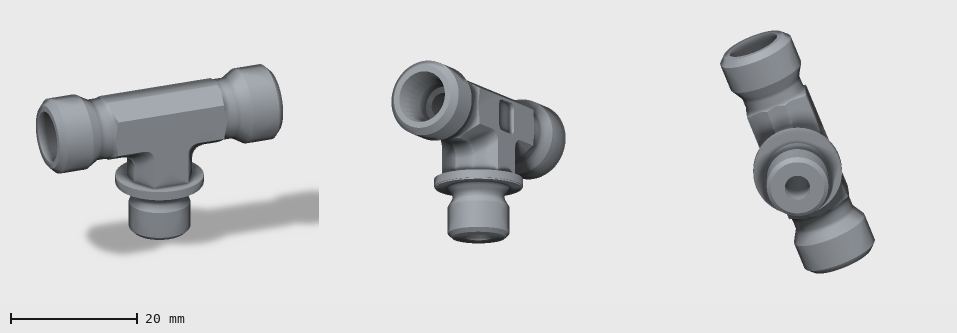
import cadquery as cq
import math


half_run = 19.0
branch_length = 19.0

hex_across_flats = 10.0
hex_cut_half = 4.9
tee_fillet = 2.0
hex_apothem = hex_across_flats / 2
hex_corner = hex_apothem / math.cos(math.pi / 6)

tube_thread_radius = 12.0 / 2
tube_neck_radius = 9.7 / 2
tube_chamfer = 1.0
tube_thread_start = 13.6
relief_radius = 1.0
relief_angle = math.radians(30)
shoulder_position = 9.0

bore_radius = 4.0 / 2
tube_socket_radius = 6.0 / 2
tube_socket_depth = 7.0
cone_mouth_radius = 8.15 / 2
cone_half_angle = math.radians(12)

flange_radius = 14.0 / 2
flange_top = -9.55
seal_radius = 13.68 / 2
seal_step = 0.2
seal_face = -11.02
stud_thread_radius = 9.73 / 2
stud_chamfer = 0.65
groove_radius = 4.1
groove_position = -12.5
groove_arc_radius = 1.0
groove_upper_angle = math.radians(35)
groove_lower_angle = math.radians(30)

recess_size = 5.0
recess_corner_radius = 1.0
recess_depth = 0.8


def cut_hexagon(plane, length):
    """Hexagonal prism with flats on +X and -X and its other two corners cut flat."""
    cut_half_width = (hex_corner - hex_cut_half) / math.tan(math.pi / 6)
    half_flat = hex_corner / 2
    points = [
        (cut_half_width, hex_cut_half),
        (hex_apothem, half_flat),
        (hex_apothem, -half_flat),
        (cut_half_width, -hex_cut_half),
        (-cut_half_width, -hex_cut_half),
        (-hex_apothem, -half_flat),
        (-hex_apothem, half_flat),
        (-cut_half_width, hex_cut_half),
    ]
    return cq.Workplane(plane).polyline(points).close().extrude(length)


def both_ends(solid):
    """The solid together with its mirror image at the other end of the run."""
    return solid.union(solid.mirror("XZ"))


def revolve_about_y(profile):
    return profile.close().revolve(360, (0, 0), (0, 1))


def run_prism():
    """Hexagon of the run, each end rounded down to the neck by a concave arc."""
    neck_start = shoulder_position + relief_radius
    hexagon = cut_hexagon(cq.Plane((0, -neck_start, 0), (1, 0, 0), (0, 1, 0)), 2 * neck_start)
    crest_radius = tube_neck_radius + relief_radius
    arc_reach = relief_radius * math.sqrt(0.5)
    envelope = revolve_about_y(
        cq.Workplane("XY")
        .lineTo(crest_radius, 0)
        .lineTo(crest_radius, shoulder_position)
        .threePointArc(
            (crest_radius - arc_reach, neck_start - arc_reach),
            (tube_neck_radius, neck_start),
        )
        .lineTo(0, neck_start)
    )
    return hexagon.intersect(both_ends(envelope))


def forged_body():
    """Run and branch hexagons joined, with fillets along the inside corners."""
    branch = cut_hexagon(cq.Plane((0, 0, 0), (1, 0, 0), (0, 0, -1)), -flange_top)
    body = run_prism().union(branch)

    def is_inside_corner(edge):
        return all(
            abs(abs(vertex.Y) + vertex.Z) < 0.0005 and vertex.Z < 0
            for vertex in edge.Vertices()
        )

    return body.edges().filter(is_inside_corner).fillet(tee_fillet)


def tube_end():
    """Threaded end of the run with its neck, relief cone and end chamfer."""
    cone_length = (tube_thread_radius - tube_neck_radius) / math.tan(relief_angle)
    cone_foot = tube_thread_start - cone_length
    tangent = relief_radius * math.tan(relief_angle / 2)
    arc_start = cone_foot - tangent
    arc_centre_radius = tube_neck_radius + relief_radius

    def arc_point(angle):
        return (
            arc_centre_radius - relief_radius * math.cos(angle),
            arc_start + relief_radius * math.sin(angle),
        )

    return revolve_about_y(
        cq.Workplane("XY")
        .lineTo(tube_neck_radius, 0)
        .lineTo(*arc_point(0))
        .threePointArc(arc_point(relief_angle / 2), arc_point(relief_angle))
        .lineTo(tube_thread_radius, tube_thread_start)
        .lineTo(tube_thread_radius, half_run - tube_chamfer)
        .lineTo(tube_thread_radius - tube_chamfer, half_run)
        .lineTo(0, half_run)
    )


def stud_end():
    """Flange, undercut groove and threaded stud of the branch."""
    arc_centre_radius = groove_radius + groove_arc_radius

    def arc_point(angle):
        return (
            arc_centre_radius - groove_arc_radius * math.cos(angle),
            groove_position + groove_arc_radius * math.sin(angle),
        )

    upper_radius, upper_z = arc_point(groove_upper_angle)
    lower_radius, lower_z = arc_point(-groove_lower_angle)
    seal_inner_radius = upper_radius + (seal_face - upper_z) * math.tan(groove_upper_angle)
    thread_start = lower_z - (stud_thread_radius - lower_radius) / math.tan(groove_lower_angle)

    profile = (
        cq.Workplane("XZ")
        .moveTo(0, flange_top)
        .lineTo(flange_radius, flange_top)
        .lineTo(flange_radius, seal_face + seal_step)
        .lineTo(seal_radius, seal_face + seal_step)
        .lineTo(seal_radius, seal_face)
        .lineTo(seal_inner_radius, seal_face)
        .lineTo(upper_radius, upper_z)
        .threePointArc(arc_point(0), (lower_radius, lower_z))
        .lineTo(stud_thread_radius, thread_start)
        .lineTo(stud_thread_radius, -branch_length + stud_chamfer)
        .lineTo(stud_thread_radius - stud_chamfer, -branch_length)
        .lineTo(0, -branch_length)
    )
    return revolve_about_y(profile)


def run_bore():
    """Half of the run bore: through hole, tube socket and sealing cone."""
    cone_depth = (cone_mouth_radius - tube_socket_radius) / math.tan(cone_half_angle)
    return revolve_about_y(
        cq.Workplane("XY")
        .lineTo(bore_radius, 0)
        .lineTo(bore_radius, half_run - tube_socket_depth)
        .lineTo(tube_socket_radius, half_run - tube_socket_depth)
        .lineTo(tube_socket_radius, half_run - cone_depth)
        .lineTo(cone_mouth_radius, half_run)
        .lineTo(0, half_run)
    )


def branch_bore():
    return cq.Workplane("XY").circle(bore_radius).extrude(-branch_length)


def marking_recess():
    """Rounded square recess in the -X flat, centred on the crossing of the axes."""
    return (
        cq.Workplane("YZ", origin=(-hex_apothem, 0, 0))
        .rect(recess_size, recess_size)
        .extrude(recess_depth)
        .edges("|X")
        .fillet(recess_corner_radius)
    )


outer = forged_body().union(both_ends(tube_end())).union(stud_end())
result = outer.cut(both_ends(run_bore())).cut(branch_bore()).cut(marking_recess())